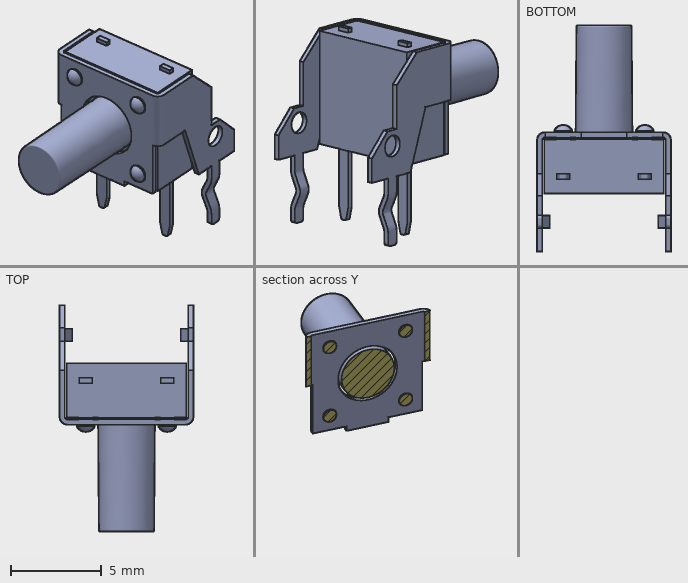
import cadquery as cq
import math


sheet = 0.3
bracket_width = 7.4
bend_radius = 0.45
bracket_top = 3.27
plate_bottom = -3.2
bracket_bottom = -3.5
plate_width = bracket_width - 2 * bend_radius
tongue_width = 2.5
clearance_hole_radius = 1.75

wall_back = 6.6
wall_step = 4.6
wall_top_end = 3.0
wall_chamfer_bottom = 1.7
ear_top = -0.8
ear_top_end = 5.35
ear_chamfer_bottom = -2.1
wall_cut_top = 2.3
wall_cut_bottom = 3.5
ear_hole_radius = 0.6
ear_hole_y = 4.95
ear_hole_z = -1.7

leg_width = 0.7
leg_bottom = -7.4
leg_corner_radius = 0.2
kink_depth = 0.41
kink_z = -5.5
kink_angle = math.radians(25)
kink_end_radius = 0.75
kink_peak_radius = 0.45

body_width = 6.6
body_depth = 3.0
body_gap = 0.1
body_front = sheet + body_gap
body_back = body_front + body_depth

pin_pitch = 4.5
pin_width = 0.7
pin_thickness = 0.3
pin_front = 2.3
pin_top = 3.5
pin_bottom = -7.51
pin_taper_top = -6.75
pin_tip_width = 0.35
pin_tip_radius = 0.14

rivet_pitch = 4.5
rivet_shank_radius = 0.4
rivet_head_radius = 0.5
rivet_lip = 0.08
rivet_head_height = 0.4

button_length = 5.9
button_base_radius = 1.58
button_tip_radius = 1.53
button_edge_radius = 0.1

overlap = 0.2


def box_between(x0, x1, y0, y1, z0, z1):
    """Axis-aligned box given by its limits."""
    return cq.Workplane("XY").box(x1 - x0, y1 - y0, z1 - z0, centered=False).translate((x0, y0, z0))


def make_bracket():
    half_width = bracket_width / 2
    inner_half = half_width - sheet
    channel = box_between(-half_width, half_width, 0, wall_back, bracket_bottom, bracket_top)
    channel = channel.edges("|Z and <Y").fillet(bend_radius)
    cavity = box_between(-inner_half, inner_half, sheet, wall_back, bracket_bottom, bracket_top)
    channel = channel.cut(cavity.edges("|Z and <Y").fillet(bend_radius - sheet))

    wall_outline = [
        (0, bracket_top),
        (wall_top_end, bracket_top),
        (wall_step, wall_chamfer_bottom),
        (wall_step, ear_top),
        (ear_top_end, ear_top),
        (wall_back, ear_chamfer_bottom),
        (wall_back, bracket_bottom),
        (wall_cut_bottom, bracket_bottom),
        (wall_cut_top, 0),
        (0, 0),
    ]
    silhouette = cq.Workplane("YZ").polyline(wall_outline).close().extrude(half_width, both=True)
    ear_hole = cq.Workplane("YZ").center(ear_hole_y, ear_hole_z).circle(ear_hole_radius)
    bracket = channel.intersect(silhouette).cut(ear_hole.extrude(half_width, both=True))

    plate = box_between(-plate_width / 2, plate_width / 2, 0, sheet, plate_bottom, bracket_top)
    tongue = box_between(-tongue_width / 2, tongue_width / 2, 0, sheet, bracket_bottom, 0)
    clearance_hole = cq.Workplane("XZ").circle(clearance_hole_radius).extrude(-sheet)
    return bracket.union(plate).union(tongue).cut(clearance_hole)


def make_left_leg():
    """Strip kinked toward the centre, swept along its mid-plane."""
    x_mid = -(bracket_width - sheet) / 2
    radii = kink_end_radius + kink_peak_radius
    slope_length = (kink_depth - radii * (1 - math.cos(kink_angle))) / math.sin(kink_angle)
    half_height = radii * math.sin(kink_angle) + slope_length * math.cos(kink_angle)
    end_dx = kink_end_radius * (1 - math.cos(kink_angle))
    end_dz = kink_end_radius * math.sin(kink_angle)
    peak_dx = kink_depth - kink_peak_radius * (1 - math.cos(kink_angle))
    peak_dz = kink_peak_radius * math.sin(kink_angle)
    leg_top = bracket_bottom + overlap
    path = (
        cq.Workplane("XZ", origin=(x_mid, ear_hole_y, 0))
        .moveTo(0, leg_top)
        .lineTo(0, kink_z + half_height)
        .tangentArcPoint((end_dx, kink_z + half_height - end_dz), relative=False)
        .lineTo(peak_dx, kink_z + peak_dz)
        .tangentArcPoint((peak_dx, kink_z - peak_dz), relative=False)
        .lineTo(end_dx, kink_z - half_height + end_dz)
        .tangentArcPoint((0, kink_z - half_height), relative=False)
        .lineTo(0, leg_bottom)
    )
    section = cq.Workplane("XY", origin=(x_mid, ear_hole_y, leg_top)).rect(sheet, leg_width)
    return section.sweep(path).faces("<Z").edges("|X").fillet(leg_corner_radius)


def make_body():
    return box_between(-body_width / 2, body_width / 2, body_front, body_back, plate_bottom, bracket_top)


def make_pin(x):
    """Flat contact through the body with a tapered, rounded tip."""
    outline = [
        (-pin_width / 2, pin_top),
        (pin_width / 2, pin_top),
        (pin_width / 2, pin_taper_top),
        (pin_tip_width / 2, pin_bottom),
        (-pin_tip_width / 2, pin_bottom),
        (-pin_width / 2, pin_taper_top),
    ]
    pin = cq.Workplane("XZ", origin=(x, pin_front, 0)).polyline(outline).close().extrude(-pin_thickness)
    return pin.faces("<Z").edges("|Y").fillet(pin_tip_radius)


def make_rivet(x, z):
    """Shank from the body through the plate, with a domed head on the front."""
    dome_rise = rivet_head_height - rivet_lip
    dome_radius = (rivet_head_radius**2 + dome_rise**2) / (2 * dome_rise)
    half_angle = math.asin(rivet_head_radius / dome_radius) / 2
    dome_mid_x = dome_radius * math.sin(half_angle)
    dome_mid_y = -rivet_head_height + dome_radius * (1 - math.cos(half_angle))
    profile = (
        cq.Workplane("XY")
        .moveTo(0, body_front + overlap)
        .lineTo(rivet_shank_radius, body_front + overlap)
        .lineTo(rivet_shank_radius, 0)
        .lineTo(rivet_head_radius, 0)
        .lineTo(rivet_head_radius, -rivet_lip)
        .threePointArc((dome_mid_x, dome_mid_y), (0, -rivet_head_height))
        .close()
    )
    return profile.revolve(360, (0, 0, 0), (0, 1, 0)).translate((x, 0, z))


def make_button():
    """Slightly tapered plunger rising from the body through the plate."""
    profile = [
        (0, body_front + overlap),
        (button_base_radius, body_front + overlap),
        (button_tip_radius, -button_length),
        (0, -button_length),
    ]
    button = cq.Workplane("XY").polyline(profile).close().revolve(360, (0, 0, 0), (0, 1, 0))
    return button.faces("<Y").edges().fillet(button_edge_radius)


left_leg = make_left_leg()
result = make_bracket().union(left_leg).union(left_leg.mirror("YZ"))
result = result.union(make_body()).union(make_button())
for side in (-1, 1):
    result = result.union(make_pin(side * pin_pitch / 2))
    for level in (-1, 1):
        result = result.union(make_rivet(side * rivet_pitch / 2, level * rivet_pitch / 2))